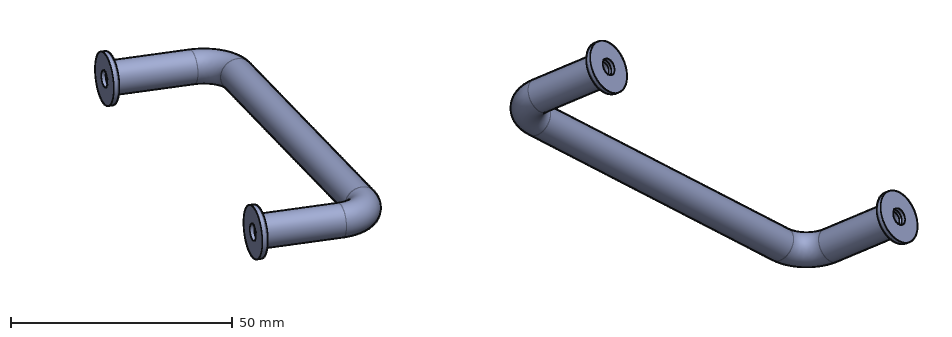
import cadquery as cq
import math

LEG_SPACING = 98.0
REACH = 33.0
BAR_DIAMETER = 8.0
BEND_RADIUS = 8.0
FLANGE_DIAMETER = 12.5
FLANGE_THICKNESS = 1.5
FLANGE_ROUND = 0.5
HOLE_DIAMETER = 3.24
HOLE_MOUTH_DIAMETER = 4.0
HOLE_MOUTH_DEPTH = 1.0
HOLE_DEPTH = 10.0
DRILL_POINT_ANGLE = 118.0

LEG_X = LEG_SPACING / 2
BAR_Y = REACH - BAR_DIAMETER / 2
BEND_START_Y = BAR_Y - BEND_RADIUS
BEND_CENTRE_X = LEG_X - BEND_RADIUS
HOLE_RADIUS = HOLE_DIAMETER / 2
HOLE_MOUTH_RADIUS = HOLE_MOUTH_DIAMETER / 2
TAPER_END_DEPTH = HOLE_MOUTH_DEPTH + HOLE_MOUTH_RADIUS - HOLE_RADIUS
DRILL_POINT_DEPTH = HOLE_RADIUS / math.tan(math.radians(DRILL_POINT_ANGLE / 2))


def bar_section(plane, centre):
    """Circular bar cross-section on the given plane."""
    return cq.Workplane(plane, origin=centre).circle(BAR_DIAMETER / 2)


def straight_leg(x):
    """Leg running along +Y from the mounting plane Y = 0 to its bend."""
    return bar_section("XZ", (x, 0, 0)).extrude(-BEND_START_Y)


def bend(side):
    """Quarter-torus joining a leg to the grip; side is -1 (left) or +1 (right)."""
    section = bar_section("XZ", (side * LEG_X, BEND_START_Y, 0))
    axis_x = -side * BEND_RADIUS
    return section.revolve(90, (axis_x, 0, 0), (axis_x, side, 0))


def grip():
    """Straight middle of the bar, along X between the two bends."""
    return bar_section("YZ", (-BEND_CENTRE_X, BAR_Y, 0)).extrude(2 * BEND_CENTRE_X)


def flange(x):
    """Round foot on the mounting plane Y = 0, with its bar-side rim rounded."""
    disc = cq.Workplane("XZ", origin=(x, 0, 0)).circle(FLANGE_DIAMETER / 2).extrude(-FLANGE_THICKNESS)
    return disc.faces(">Y").edges().fillet(FLANGE_ROUND)


def screw_hole(x):
    """Blind drilled hole along +Y with a wider mouth, a 45 degree taper and a conical end."""
    half_section = (
        cq.Workplane("XY", origin=(x, 0, 0))
        .moveTo(0, 0)
        .lineTo(HOLE_MOUTH_RADIUS, 0)
        .lineTo(HOLE_MOUTH_RADIUS, HOLE_MOUTH_DEPTH)
        .lineTo(HOLE_RADIUS, TAPER_END_DEPTH)
        .lineTo(HOLE_RADIUS, HOLE_DEPTH)
        .lineTo(0, HOLE_DEPTH + DRILL_POINT_DEPTH)
        .close()
    )
    return half_section.revolve(360, (0, 0), (0, 1))


result = grip()
for side in (-1, 1):
    leg_x = side * LEG_X
    result = result.union(bend(side)).union(straight_leg(leg_x)).union(flange(leg_x))
    result = result.cut(screw_hole(leg_x))